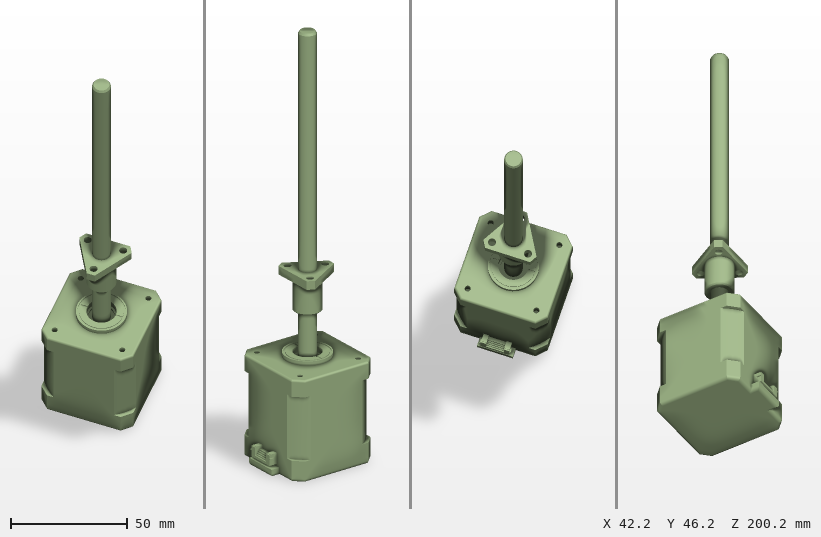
import cadquery as cq
import math


motor_width = 42.2
motor_height = 47.8
corner_chamfer = 4.2
cover_height = 7.8
cover_edge_fillet = 1.0
rear_height = 10.0
rear_edge_fillet = 1.6
stator_height = motor_height - cover_height
stator_round_diameter = 50.5

mount_spacing = 31.0
mount_hole_diameter = 2.6
mount_hole_depth = 4.5
boss_diameter = 22.0
boss_height = 2.0
groove_outer_diameter = 20.6
groove_inner_diameter = 19.2
groove_depth = 0.5
radial_slot_width = 0.8
bore_diameter = 13.0
bore_depth = 2.8
clearance_diameter = 11.2
clearance_depth = 0.8
boss_top = motor_height + boss_height
bore_bottom = boss_top - bore_depth
screw_bottom = bore_bottom - clearance_depth

screw_diameter = 8.0
screw_chamfer_height = 1.0
screw_chamfer_width = 0.6
overall_height = 200.2

nut_diameter = 13.0
nut_bottom = 69.3
nut_sleeve_length = 15.0
nut_flange_thickness = 4.0
nut_chamfer = 0.6
flange_side_distance = 8.0
flange_corner_distance = 12.8
flange_hole_radius = 9.5
flange_hole_diameter = 3.5
flange_corner_count = 3

ledge_width = 16.2
ledge_reach = 4.0
ledge_height = 3.6
connector_width = 12.8
connector_reach = 4.0
connector_bottom = 4.8
channel_width = 8.0
channel_depth = 1.6
lip_length = 0.6
lip_drop = 0.2
step_length = 0.6
step_depth = 0.6
step_count = 4
latch_length = 2.0
latch_size = 0.6
latch_height = 8.0


def motor_block(bottom, height):
    """Square block with its four vertical corners cut off."""
    block = cq.Workplane("XY", origin=(0, 0, bottom)).rect(motor_width, motor_width).extrude(height)
    return block.edges("|Z").chamfer(corner_chamfer)


def cylinder(diameter, bottom, height):
    return cq.Workplane("XY", origin=(0, 0, bottom)).circle(diameter / 2).extrude(height)


def box(x_size, y_start, y_size, bottom, height):
    """Box centred on X, placed by its near Y face and its bottom."""
    block = cq.Workplane("XY").box(x_size, y_size, height, centered=(True, False, False))
    return block.translate((0, y_start, bottom))


def make_housing():
    """Rear cover and stator, with rounded stator corners and a ledge under the connector."""
    rear = motor_block(0, rear_height)
    ledge = box(ledge_width, 0, motor_width / 2 + ledge_reach, 0, ledge_height)
    rear = rear.union(ledge).faces("<Z").edges().fillet(rear_edge_fillet)
    stator_length = stator_height - rear_height
    stator = cq.Workplane("XY", origin=(0, 0, rear_height)).rect(motor_width, motor_width)
    stator = stator.extrude(stator_length)
    stator = stator.intersect(cylinder(stator_round_diameter, rear_height, stator_length))
    return rear.union(stator)


def make_front_cover():
    """Front plate with four blind mounting holes and a stepped bore through its pilot boss.

    The boss top has a ring groove and two narrow slots that lead from the bore to the groove.
    """
    cover = motor_block(stator_height, cover_height).faces(">Z").edges().fillet(cover_edge_fillet)
    boss = cylinder(boss_diameter, motor_height, boss_height)
    groove = cylinder(groove_outer_diameter, boss_top - groove_depth, groove_depth)
    groove = groove.cut(cylinder(groove_inner_diameter, boss_top - groove_depth, groove_depth))
    slots = box(groove_inner_diameter, -radial_slot_width / 2, radial_slot_width,
                boss_top - groove_depth, groove_depth)
    cover = cover.union(boss).cut(groove).cut(slots)
    holes = cq.Workplane("XY", origin=(0, 0, motor_height - mount_hole_depth))
    holes = holes.rect(mount_spacing, mount_spacing, forConstruction=True).vertices()
    holes = holes.circle(mount_hole_diameter / 2).extrude(mount_hole_depth)
    bore = cylinder(bore_diameter, bore_bottom, bore_depth)
    clearance = cylinder(clearance_diameter, screw_bottom, clearance_depth)
    return cover.cut(holes).cut(bore).cut(clearance)


def make_screw():
    """Plain round screw with a tall, narrow chamfer at its top end."""
    screw = cylinder(screw_diameter, screw_bottom, overall_height - screw_bottom)
    tip_radius = screw_diameter / 2
    corner = [
        (tip_radius - screw_chamfer_width, overall_height),
        (tip_radius, overall_height),
        (tip_radius, overall_height - screw_chamfer_height),
    ]
    tip_cut = cq.Workplane("XZ").polyline(corner).close().revolve(360, (0, 0, 0), (0, 1, 0))
    return screw.cut(tip_cut)


def make_nut():
    """Sleeve under a triangular flange whose three corners are cut off."""
    flange_bottom = nut_bottom + nut_sleeve_length
    sleeve = cylinder(nut_diameter, nut_bottom, nut_sleeve_length).faces("<Z").chamfer(nut_chamfer)
    half_tip = (2 * flange_side_distance - flange_corner_distance) * math.tan(math.radians(30))
    tip_radius = math.hypot(half_tip, flange_corner_distance)
    tip_angle = math.degrees(math.atan2(half_tip, flange_corner_distance))
    outline = []
    hole_centers = []
    for corner in range(flange_corner_count):
        direction = 360 / flange_corner_count * corner - 90
        for angle in (direction - tip_angle, direction + tip_angle):
            turn = math.radians(angle)
            outline.append((tip_radius * math.cos(turn), tip_radius * math.sin(turn)))
        turn = math.radians(direction)
        hole_centers.append((flange_hole_radius * math.cos(turn), flange_hole_radius * math.sin(turn)))
    plane = cq.Workplane("XY", origin=(0, 0, flange_bottom))
    flange = plane.polyline(outline).close().extrude(nut_flange_thickness)
    holes = plane.pushPoints(hole_centers).circle(flange_hole_diameter / 2).extrude(nut_flange_thickness)
    bore = cylinder(screw_diameter, nut_bottom, nut_sleeve_length + nut_flange_thickness)
    return sleeve.union(flange).cut(holes).cut(bore)


def make_connector():
    """Block on the rear cover with a latch rib on each side.

    Its top has a slightly lowered front lip and a channel that steps down toward the front.
    """
    back = motor_width / 2
    front = back + connector_reach
    block = box(connector_width, back, connector_reach, connector_bottom, rear_height - connector_bottom)
    lip = box(connector_width, front - lip_length, lip_length, rear_height - lip_drop, lip_drop)
    channel = box(channel_width, back, connector_reach, rear_height - channel_depth, channel_depth)
    for step in range(1, step_count + 1):
        length = step_length * (step_count + 1 - step)
        depth = channel_depth + step_depth * step
        channel = channel.union(box(channel_width, front - length, length, rear_height - depth, depth))
    latches = box(connector_width + 2 * latch_size, front - latch_length, latch_length,
                  latch_height - latch_size / 2, latch_size)
    return block.union(latches).cut(lip).cut(channel)


housing = make_housing()
front_cover = make_front_cover()
screw = make_screw()
nut = make_nut()
connector = make_connector()

result = cq.Compound.makeCompound(
    [housing.val(), front_cover.val(), screw.val(), nut.val(), connector.val()]
)